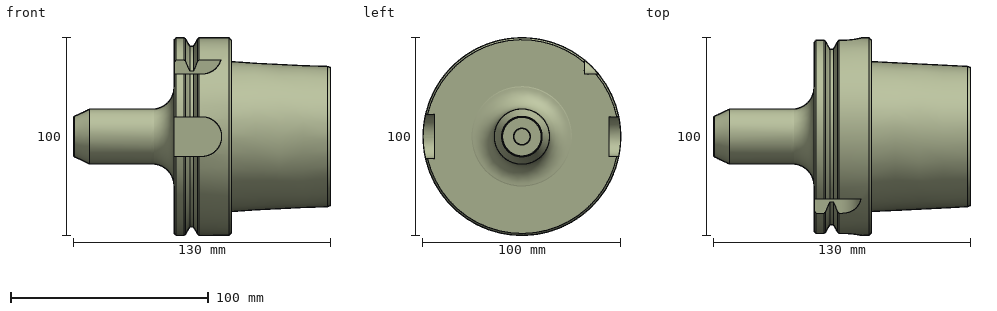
import cadquery as cq
import math

total_length = 130.0
nose_length = 8.3
flange_front = 51.0
flange_width = 29.0
flange_rear = flange_front + flange_width

tip_radius = 10.3
tip_chamfer = 0.5
shank_radius = 28.0 / 2
neck_radius = 27.8 / 2
neck_step_start = 39.8
neck_step_length = 1.0
root_start = neck_step_start + neck_step_length
root_rim = 0.1
root_fillet = 10.9
root_rim_radius = 25.4

hole_radius = 8.0 / 2
hole_mouth_radius = 8.6 / 2
hole_mouth_depth = 0.3
hole_depth = 13.0

flange_radius = 100.0 / 2
front_chamfer = 1.0
rear_chamfer = 1.3
groove_center = 59.8
groove_floor_radius = 45.8
groove_lip_half = 3.8
groove_shoulder_half = 3.0
groove_root_half = 1.7
groove_floor_half = 0.9
groove_lip_drop = 0.6
groove_root_rise = 1.2

taper_radius = 38.0
taper_slope = 1 / 20
taper_end_chamfer = 1.5
taper_end_inset = 0.6

slot_half_width = 10.0
slot_center_x = 65.0
slot_end_x = slot_center_x + slot_half_width
slot_floor = 44.1
wide_slot_half_width = 11.2
wide_slot_corner = 10.4
notch_offset = 31.6


def make_body():
    """Revolve the full outer profile about X; sketch Y is the radius."""
    groove_shoulder_radius = flange_radius - groove_lip_drop
    groove_root_radius = groove_floor_radius + groove_root_rise
    root_end_radius = neck_radius + root_fillet
    root_center_x = flange_front - root_rim - root_fillet
    root_start_radius = root_end_radius - math.sqrt(root_fillet**2 - (root_start - root_center_x) ** 2)
    root_bulge = root_fillet * math.sqrt(0.5)
    taper_end = total_length - taper_end_chamfer
    taper_end_radius = taper_radius - taper_slope * (taper_end - flange_rear)
    profile = (
        cq.Workplane("XY")
        .moveTo(0, 0)
        .lineTo(0, tip_radius - tip_chamfer)
        .lineTo(tip_chamfer, tip_radius)
        .lineTo(nose_length, shank_radius)
        .lineTo(neck_step_start, shank_radius)
        .lineTo(root_start, root_start_radius)
        .threePointArc(
            (root_center_x + root_bulge, root_end_radius - root_bulge),
            (flange_front - root_rim, root_end_radius),
        )
        .lineTo(flange_front, root_rim_radius)
        .lineTo(flange_front, flange_radius - front_chamfer)
        .lineTo(flange_front + front_chamfer, flange_radius)
        .lineTo(groove_center - groove_lip_half, flange_radius)
        .lineTo(groove_center - groove_shoulder_half, groove_shoulder_radius)
        .lineTo(groove_center - groove_root_half, groove_root_radius)
        .lineTo(groove_center - groove_floor_half, groove_floor_radius)
        .lineTo(groove_center + groove_floor_half, groove_floor_radius)
        .lineTo(groove_center + groove_root_half, groove_root_radius)
        .lineTo(groove_center + groove_shoulder_half, groove_shoulder_radius)
        .lineTo(groove_center + groove_lip_half, flange_radius)
        .lineTo(flange_rear - rear_chamfer, flange_radius)
        .lineTo(flange_rear, flange_radius - rear_chamfer)
        .lineTo(flange_rear, taper_radius)
        .lineTo(taper_end, taper_end_radius)
        .lineTo(total_length, taper_end_radius - taper_end_inset)
        .lineTo(total_length, 0)
        .close()
    )
    return profile.revolve(360, (0, 0, 0), (1, 0, 0))


def make_tip_hole():
    """Blind axial hole with a slightly flared mouth."""
    return (
        cq.Workplane("XY")
        .moveTo(0, 0)
        .lineTo(0, hole_mouth_radius)
        .lineTo(hole_mouth_depth, hole_radius)
        .lineTo(hole_depth, hole_radius)
        .lineTo(hole_depth, 0)
        .close()
        .revolve(360, (0, 0, 0), (1, 0, 0))
    )


def make_round_slot(inner_y, outer_y, center_z=0):
    """Cutter from the flange front to a full half-round end."""
    return (
        cq.Workplane("XZ", origin=(0, outer_y, center_z))
        .moveTo(flange_front, -slot_half_width)
        .lineTo(slot_center_x, -slot_half_width)
        .threePointArc((slot_end_x, 0), (slot_center_x, slot_half_width))
        .lineTo(flange_front, slot_half_width)
        .close()
        .extrude(outer_y - inner_y)
    )


def make_wide_slot(inner_y, outer_y):
    """Cutter from the flange front to a flat end with rounded corners."""
    return (
        cq.Workplane("XY")
        .box(slot_end_x - flange_front, outer_y - inner_y, 2 * wide_slot_half_width)
        .edges("|Y and >X")
        .fillet(wide_slot_corner)
        .translate(((flange_front + slot_end_x) / 2, (inner_y + outer_y) / 2, 0))
    )


drive_slot = make_round_slot(-flange_radius, -slot_floor)
wide_drive_slot = make_wide_slot(slot_floor, flange_radius)
notch = make_round_slot(-flange_radius, -notch_offset, notch_offset + slot_half_width)

result = make_body().cut(make_tip_hole())
for cutter in (drive_slot, wide_drive_slot, notch):
    result = result.cut(cutter)